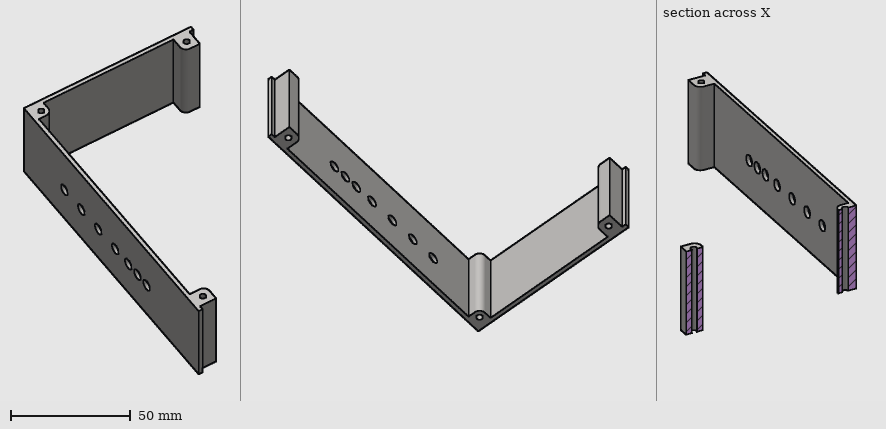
import cadquery as cq

length = 134.0
depth = 83.0
height = 40.0
wall = 2.0

end_lug_size = 8.0
end_lug_inset = 2.0
corner_lug_size = 6.5
lug_round = 3.0
screw_diameter = 2.7

front_hole_diameter = 5.0
front_hole_z = 18.0
wide_row_start = 31.0
wide_row_count = 4
wide_pitch = 13.0
narrow_row_start = 80.0
narrow_row_count = 3
narrow_pitch = 7.0


def upright(x, y, size_x, size_y):
    """Full-height block standing on Z = 0 with its lowest corner at (x, y)."""
    return cq.Workplane("XY", origin=(x, y, 0)).box(size_x, size_y, height, centered=False)


def lug(x, y, size, rounded_edge):
    """Square lug with one rounded vertical edge and a screw hole down its centre."""
    body = upright(x, y, size, size).edges(rounded_edge).fillet(lug_round)
    centre = (x + size / 2, y + size / 2, 0)
    screw_hole = cq.Workplane("XY", origin=centre).circle(screw_diameter / 2).extrude(height)
    return body.cut(screw_hole)


def front_holes():
    """Cylinders for the row of holes, passing through the front wall."""
    wide_row = [wide_row_start + i * wide_pitch for i in range(wide_row_count)]
    narrow_row = [narrow_row_start + i * narrow_pitch for i in range(narrow_row_count)]
    centres = [(x, front_hole_z) for x in wide_row + narrow_row]
    return cq.Workplane("XZ").pushPoints(centres).circle(front_hole_diameter / 2).extrude(-wall)


front_wall = upright(0, 0, length, wall).cut(front_holes())
side_wall = upright(0, 0, wall, depth)

right_lug_x = length - end_lug_inset - end_lug_size
rear_lug_y = depth - end_lug_inset - end_lug_size
corner_lug = lug(wall, wall, corner_lug_size, "|Z and >X and >Y")
right_lug = lug(right_lug_x, wall, end_lug_size, "|Z and <X and >Y")
rear_lug = lug(wall, rear_lug_y, end_lug_size, "|Z and >X and <Y")

result = front_wall.union(side_wall).union(corner_lug).union(right_lug).union(rear_lug)